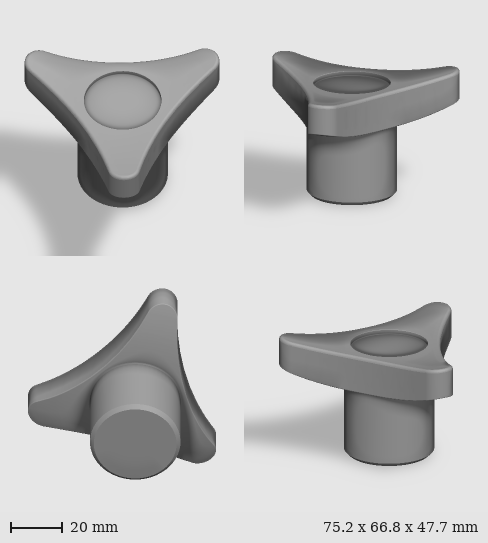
import cadquery as cq
import math

overall_width = 75.2
arm_spacing = 120
tip_radius = 6.2
half_spacing = math.radians(arm_spacing / 2)
tip_distance = (overall_width / 2 - tip_radius) / math.sin(half_spacing)
waist_distance = 19.7
first_arm_angle = 90
arm_angles = [first_arm_angle + i * arm_spacing for i in range(3)]

top_level = 44.6
top_flat_radius = 11.3
top_dish_radius = 146.65
underside_level = 29.7
underside_flat_radius = 11.3
underside_dish_radius = 79.7
plate_radius = 45.1
blank_height = 52.65
top_edge_fillet = 1.1
lower_edge_fillet = 0.4

hub_diameter = 35.0
hub_chamfer = 1.5
neck_fillet = 0.6
neck_margin = 0.15

recess_diameter = 30.0
recess_floor = 42.7
recess_floor_fillet = 0.3
rim_chamfer = 0.2


def polar(distance, angle):
    a = math.radians(angle)
    return (distance * math.cos(a), distance * math.sin(a))


def arm_outline():
    """Round tips joined by tangent concave arcs."""
    half_span = tip_distance * math.sin(half_spacing)
    tip_offset = waist_distance - tip_distance * math.cos(half_spacing)
    side_radius = (half_span**2 + tip_offset**2 - tip_radius**2) / (2 * (tip_radius - tip_offset))
    side_center = side_radius + waist_distance
    lean = math.asin(side_center * math.sin(half_spacing) / (side_radius + tip_radius))

    def tangent_point(angle, side):
        cx, cy = polar(tip_distance, angle)
        dx, dy = polar(tip_radius, angle + side * math.degrees(lean))
        return (cx + dx, cy + dy)

    outline = cq.Workplane("XY").moveTo(*tangent_point(arm_angles[0], -1))
    for angle in arm_angles:
        outline = outline.threePointArc(polar(tip_distance + tip_radius, angle), tangent_point(angle, 1))
        waist = polar(waist_distance, angle + arm_spacing / 2)
        outline = outline.threePointArc(waist, tangent_point(angle + arm_spacing, -1))
    return outline.close()


def rise(distance, radius):
    """Height gained by an upward arc over a distance from its lowest point."""
    return radius - math.sqrt(radius**2 - distance**2)


def make_dished_layer():
    """Round plate, flat around the axis, that curves upward further out."""
    top_arc_span = plate_radius - top_flat_radius
    under_arc_span = plate_radius - underside_flat_radius

    def top_point(distance):
        return (top_flat_radius + distance, top_level + rise(distance, top_dish_radius))

    def under_point(distance):
        return (underside_flat_radius + distance, underside_level + rise(distance, underside_dish_radius))

    profile = (
        cq.Workplane("XZ")
        .moveTo(0, underside_level)
        .lineTo(*under_point(0))
        .threePointArc(under_point(under_arc_span / 2), under_point(under_arc_span))
        .lineTo(*top_point(top_arc_span))
        .threePointArc(top_point(top_arc_span / 2), top_point(0))
        .lineTo(0, top_level)
        .close()
    )
    return profile.revolve(360, (0, 0, 0), (0, 1, 0))


def make_grip():
    """Outline prism trimmed to the dished layer, with rounded edges."""
    grip = arm_outline().extrude(blank_height).intersect(make_dished_layer())
    top_face = grip.faces("not (%PLANE or %CYLINDER)").faces(">Z")
    grip = top_face.edges("not %CIRCLE").fillet(top_edge_fillet)
    underside_face = grip.faces("not (%PLANE or %CYLINDER)").faces("<Z")
    return underside_face.edges("not %CIRCLE").fillet(lower_edge_fillet)


def make_hub():
    hub = cq.Workplane("XY").circle(hub_diameter / 2).extrude(recess_floor)
    return hub.faces("<Z").chamfer(hub_chamfer)


def make_recess():
    """Solid filling the round recess, with its softened floor and flared rim."""
    recess_radius = recess_diameter / 2
    rim_level = top_level + rise(recess_radius - top_flat_radius, top_dish_radius)
    bore = (
        cq.Workplane("XY")
        .workplane(offset=recess_floor)
        .circle(recess_radius)
        .extrude(blank_height - recess_floor)
        .faces("<Z")
        .edges()
        .fillet(recess_floor_fillet)
    )
    rim = cq.Solid.makeCone(
        recess_radius, recess_radius + rim_chamfer, rim_chamfer, pnt=cq.Vector(0, 0, rim_level - rim_chamfer)
    )
    return bore.union(cq.Workplane(rim))


def fillet_neck(knob):
    """Round the inner corner where the hub meets the underside."""
    neck_level = underside_level + rise(hub_diameter / 2 - underside_flat_radius, underside_dish_radius)
    reach = hub_diameter / 2 + neck_margin
    neck = cq.selectors.BoxSelector(
        (-reach, -reach, neck_level - neck_margin), (reach, reach, neck_level + neck_margin), boundingbox=True
    )
    return knob.edges(neck).fillet(neck_fillet)


knob = fillet_neck(make_grip().union(make_hub()))
result = knob.cut(make_recess())